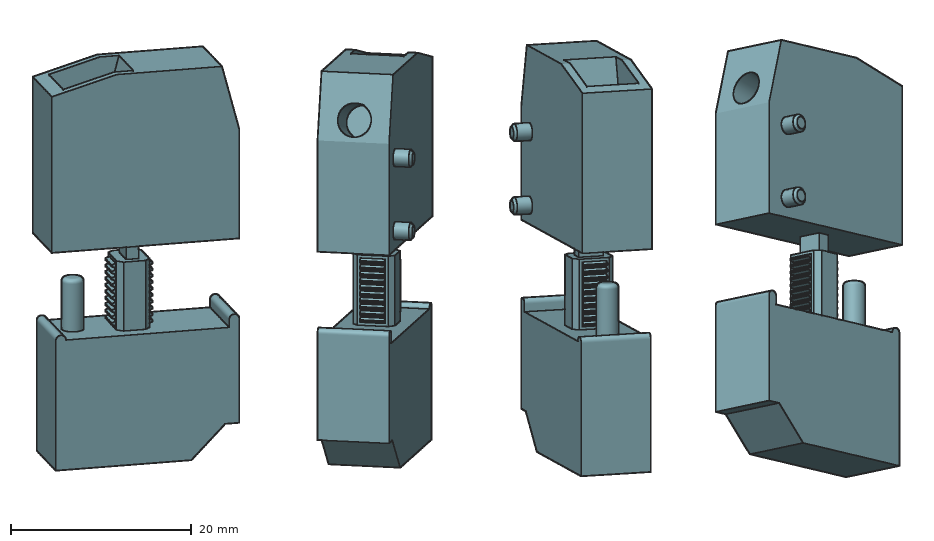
import cadquery as cq
import math

total_height = 45.15
block_width = 8.13
left_side = -block_width / 2

upper_length = 21.5
upper_height = 20.0
upper_bottom = total_height - upper_height
slope_angle = 15.0
slope_tan = math.tan(math.radians(slope_angle))
slope_short = 2.0
slope_long = slope_short / slope_tan

pocket_width = 6.05
pocket_depth = 4.25
pocket_rear = 11.85
pocket_front = 19.9

hole_diameter = 3.8
hole_depth = 4.5
hole_inset = 0.65

peg_count = 2
peg_diameter = 2.0
peg_length = 2.08
peg_chamfer = 0.3
peg_inset = 3.0
lower_peg_rise = 2.15
peg_spacing = 8.25

lower_length = 21.05
lower_height = 15.0
rib_radius = 0.6
rear_rib_straight = 0.9
notch_size = 3.9
notch_ledge = 1.63

post_diameter = 2.5
post_height = 6.0
post_rounding = 0.5
post_inset = 18.0

contact_inset = 11.55
bar_width = 4.75
bar_thickness = 3.8
bar_height = 7.95
bar_chamfer = 0.65
blade_width = 2.9
blade_thickness = 1.45
tooth_count = 10
tooth_width = 2.8
tooth_height = 0.45
tooth_base = 0.6
tooth_tip = 0.16
tooth_margin = 0.65
tooth_pitch = (bar_height - 2 * tooth_margin) / (tooth_count - 1)


def side_profile(points):
    """Closed polygon in the YZ plane."""
    return cq.Workplane("YZ").polyline(points).close()


def make_pocket_cutter():
    front_rim_drop = (pocket_front - (upper_length - slope_long)) * slope_tan
    floor_rear = pocket_rear + pocket_depth * slope_tan
    floor_front = pocket_front - (pocket_depth - front_rim_drop) * slope_tan
    mouth_front = pocket_front + front_rim_drop * slope_tan
    floor_z = total_height - pocket_depth
    outline = side_profile([
        (-pocket_rear, total_height),
        (-floor_rear, floor_z),
        (-floor_front, floor_z),
        (-mouth_front, total_height),
    ])
    return outline.extrude(pocket_width / 2, both=True)


def make_hole_cutter():
    centre_z = total_height - slope_long + hole_inset / slope_tan
    outward = cq.Vector(0, math.cos(math.radians(slope_angle)), math.sin(math.radians(slope_angle)))
    mouth = cq.Plane(origin=(0, -hole_inset, centre_z), xDir=(1, 0, 0), normal=outward)
    return cq.Workplane(mouth).circle(hole_diameter / 2).extrude(-hole_depth)


def make_peg(axis_z):
    base = cq.Workplane("YZ", origin=(left_side, -peg_inset, axis_z))
    return base.circle(peg_diameter / 2).extrude(-peg_length).faces("<X").chamfer(peg_chamfer)


def make_upper_block():
    block = side_profile([
        (0, upper_bottom),
        (0, total_height - slope_long),
        (-slope_short, total_height),
        (-(upper_length - slope_long), total_height),
        (-upper_length, total_height - slope_short),
        (-upper_length, upper_bottom),
    ]).extrude(block_width / 2, both=True)
    block = block.cut(make_pocket_cutter()).cut(make_hole_cutter())
    for row in range(peg_count):
        block = block.union(make_peg(upper_bottom + lower_peg_rise + row * peg_spacing))
    return block


def make_lower_block():
    rib_width = 2 * rib_radius
    crest_start = lower_height + rear_rib_straight
    outline = (
        cq.Workplane("YZ")
        .moveTo(0, notch_size)
        .lineTo(0, crest_start)
        .threePointArc((-rib_radius, crest_start + rib_radius), (-rib_width, crest_start))
        .lineTo(-rib_width, lower_height)
        .lineTo(rib_width - lower_length, lower_height)
        .threePointArc((rib_radius - lower_length, lower_height + rib_radius), (-lower_length, lower_height))
        .lineTo(-lower_length, 0)
        .lineTo(-(notch_ledge + notch_size), 0)
        .lineTo(-notch_ledge, notch_size)
        .close()
    )
    post = (
        cq.Workplane("XY", origin=(0, -post_inset, lower_height))
        .circle(post_diameter / 2)
        .extrude(post_height)
        .faces(">Z")
        .fillet(post_rounding)
    )
    return outline.extrude(block_width / 2, both=True).union(post)


def make_tooth(side, centre_z):
    """Straight ridge on one Y face of the bar; side is +1 for the rear and -1 for the front."""
    root = -contact_inset + side * bar_thickness / 2
    tip = root + side * tooth_height
    outline = side_profile([
        (root, centre_z - tooth_base / 2),
        (tip, centre_z - tooth_tip / 2),
        (tip, centre_z + tooth_tip / 2),
        (root, centre_z + tooth_base / 2),
    ])
    return outline.extrude(tooth_width / 2, both=True)


def make_contact():
    bar_top = lower_height + bar_height
    contact = (
        cq.Workplane("XY", origin=(0, -contact_inset, lower_height))
        .rect(bar_width, bar_thickness)
        .extrude(bar_height)
        .edges("|Z")
        .chamfer(bar_chamfer)
    )
    blade = (
        cq.Workplane("XY", origin=(0, -contact_inset, bar_top))
        .rect(blade_width, blade_thickness)
        .extrude(upper_bottom - bar_top)
    )
    contact = contact.union(blade)
    for side in (1, -1):
        for row in range(tooth_count):
            contact = contact.union(make_tooth(side, lower_height + tooth_margin + row * tooth_pitch))
    return contact


upper_block = make_upper_block()
lower_block = make_lower_block()
contact = make_contact()

result = cq.Compound.makeCompound([upper_block.val(), lower_block.val(), contact.val()])